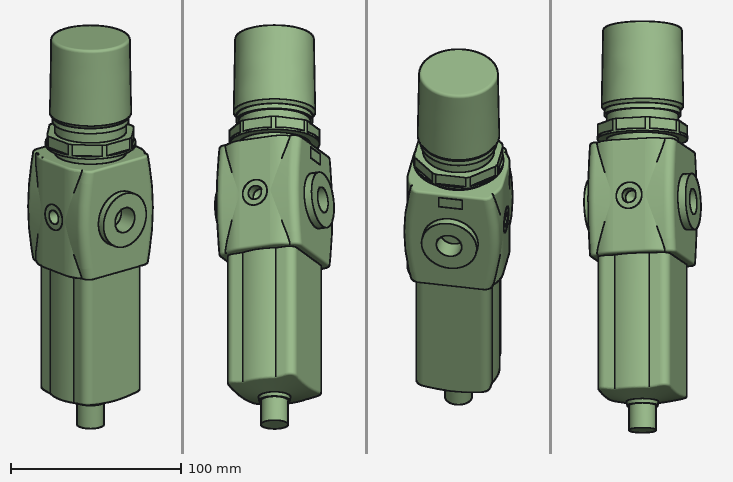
import cadquery as cq
import math

spout_step_z = 14.7
spout_root_z = 17.0
block_bottom_z = 101.3
block_top_z = 169.1
nut_seat_z = 174.2
nut_flange_top_z = 175.6
nut_top_z = 182.4
collar_bottom_z = 188.6
knob_bottom_z = 191.8
knob_rim_z = 194.0
total_height = 240.5
block_mid_z = (block_bottom_z + block_top_z) / 2
block_height = block_top_z - block_bottom_z

bowl_width_x = 44.0
bowl_half_x = bowl_width_x / 2
bowl_flat_y = 22.1
bowl_half_y = 24.3
bowl_bulge_half_width = 10.5
bowl_corner_radius = 5.0
bowl_bottom_slope = 0.25
bowl_edge_radius = 1.5

spout_root_diameter = 19.0
spout_shoulder_diameter = 18.0
spout_diameter = 16.0

block_width_x = 52.7
block_width_y = 57.0
block_half_x = block_width_x / 2
block_half_y = block_width_y / 2
front_flat_half_width = 9.9
flank_radius = 17.3
barrel_half_height = 26.7
barrel_drop = 2.6
block_corner_radius = 5.0
block_edge_radius = 1.5

port_boss_half_span = 31.0
port_boss_diameter = 33.0
port_hole_diameter = 15.2
port_hole_depth = 12.0
gauge_face_diameter = 15.6
gauge_face_depth = 0.12
gauge_hole_diameter = 8.5
gauge_hole_depth = 7.2
drill_point_angle = 118.0

label_width = 14.0
label_height = 6.7
label_center_z = 163.1
label_depth = 0.12

neck_diameter = 42.0
collar_diameter = 45.0
collar_top_diameter = 44.3
knob_bottom_diameter = 45.0
knob_rim_diameter = 48.0
knob_top_diameter = 46.5
knob_edge_radius = 1.8

nut_across_flats = 49.8
nut_diameter = 53.0
nut_sides = 8


def make_bowl():
    """Rounded rectangle with bulged front and back, closed below by a shallow cone."""
    height = block_bottom_z - spout_root_z
    prism = (
        cq.Workplane("XY", origin=(0, 0, spout_root_z))
        .rect(bowl_width_x, 2 * bowl_flat_y)
        .extrude(height)
        .edges("|Z")
        .fillet(bowl_corner_radius)
    )
    bulge = (
        cq.Workplane("XY", origin=(0, 0, spout_root_z))
        .moveTo(-bowl_bulge_half_width, -bowl_flat_y)
        .threePointArc((0, -bowl_half_y), (bowl_bulge_half_width, -bowl_flat_y))
        .lineTo(bowl_bulge_half_width, bowl_flat_y)
        .threePointArc((0, bowl_half_y), (-bowl_bulge_half_width, bowl_flat_y))
        .close()
        .extrude(height)
    )
    root_radius = spout_root_diameter / 2
    outer_radius = math.hypot(bowl_half_x, bowl_half_y)
    cone_rim_z = spout_root_z + bowl_bottom_slope * (outer_radius - root_radius)
    envelope = (
        cq.Workplane("XZ")
        .moveTo(0, spout_root_z)
        .lineTo(root_radius, spout_root_z)
        .lineTo(outer_radius, cone_rim_z)
        .lineTo(outer_radius, block_bottom_z)
        .lineTo(0, block_bottom_z)
        .close()
        .revolve(360, (0, 0, 0), (0, 1, 0))
    )
    bowl = prism.union(bulge).intersect(envelope)
    cone_rim = bowl.faces("%CONE").edges("not %CIRCLE")
    return cone_rim.fillet(bowl_edge_radius)


def make_spout():
    """Drain spout: short tapered root, then a small step down to the pipe."""
    return (
        cq.Workplane("XZ")
        .lineTo(spout_diameter / 2, 0)
        .lineTo(spout_diameter / 2, spout_step_z)
        .lineTo(spout_shoulder_diameter / 2, spout_step_z)
        .lineTo(spout_root_diameter / 2, spout_root_z)
        .lineTo(0, spout_root_z)
        .close()
        .revolve(360, (0, 0, 0), (0, 1, 0))
    )


def make_front_core():
    """Upright prism: flat front and back, falling away to the sides in arcs."""

    def flank_y(x):
        return block_half_y - flank_radius + math.sqrt(flank_radius**2 - (x - front_flat_half_width) ** 2)

    side_y = flank_y(block_half_x)
    middle_x = (front_flat_half_width + block_half_x) / 2
    middle_y = flank_y(middle_x)
    return (
        cq.Workplane("XY", origin=(0, 0, block_bottom_z))
        .moveTo(-front_flat_half_width, -block_half_y)
        .lineTo(front_flat_half_width, -block_half_y)
        .threePointArc((middle_x, -middle_y), (block_half_x, -side_y))
        .lineTo(block_half_x, side_y)
        .threePointArc((middle_x, middle_y), (front_flat_half_width, block_half_y))
        .lineTo(-front_flat_half_width, block_half_y)
        .threePointArc((-middle_x, middle_y), (-block_half_x, side_y))
        .lineTo(-block_half_x, -side_y)
        .threePointArc((-middle_x, -middle_y), (-front_flat_half_width, -block_half_y))
        .close()
        .extrude(block_height)
    )


def make_barrel():
    """Block whose front and back bow along Z and run out straight at the ends."""
    arc_end_y = block_half_y - barrel_drop
    barrel_radius = (barrel_half_height**2 + barrel_drop**2) / (2 * barrel_drop)
    end_slope = barrel_half_height / (barrel_radius - barrel_drop)
    end_y = arc_end_y - end_slope * (block_height / 2 - barrel_half_height)
    arc_bottom_z = block_mid_z - barrel_half_height
    arc_top_z = block_mid_z + barrel_half_height
    return (
        cq.Workplane("YZ")
        .moveTo(-end_y, block_bottom_z)
        .lineTo(end_y, block_bottom_z)
        .lineTo(arc_end_y, arc_bottom_z)
        .threePointArc((block_half_y, block_mid_z), (arc_end_y, arc_top_z))
        .lineTo(end_y, block_top_z)
        .lineTo(-end_y, block_top_z)
        .lineTo(-arc_end_y, arc_top_z)
        .threePointArc((-block_half_y, block_mid_z), (-arc_end_y, arc_bottom_z))
        .close()
        .extrude(block_half_x, both=True)
        .edges("(<X or >X) and (not |Y)")
        .fillet(block_corner_radius)
    )


def make_block():
    block = make_front_core().union(make_barrel())
    return block.faces("<Z or >Z").edges().fillet(block_edge_radius)


def make_port_bosses():
    return (
        cq.Workplane("YZ", origin=(0, 0, block_mid_z))
        .circle(port_boss_diameter / 2)
        .extrude(port_boss_half_span, both=True)
    )


def cut_ports(body):
    """Blind inlet and outlet holes on the X axis."""
    for side in (-1, 1):
        hole = (
            cq.Workplane("YZ", origin=(side * port_boss_half_span, 0, block_mid_z))
            .circle(port_hole_diameter / 2)
            .extrude(-side * port_hole_depth)
        )
        body = body.cut(hole)
    return body


def cut_gauge_ports(body):
    """Drilled gauge hole in a shallow spot face, front and back."""
    hole_radius = gauge_hole_diameter / 2
    face_radius = gauge_face_diameter / 2
    point_length = hole_radius / math.tan(math.radians(drill_point_angle / 2))
    hole_end_y = gauge_hole_depth - block_half_y
    cutter = (
        cq.Workplane("XY")
        .moveTo(0, -block_half_y)
        .lineTo(face_radius, -block_half_y)
        .lineTo(face_radius, gauge_face_depth - block_half_y)
        .lineTo(hole_radius, gauge_face_depth - block_half_y)
        .lineTo(hole_radius, hole_end_y)
        .lineTo(0, hole_end_y + point_length)
        .close()
        .revolve(360, (0, 0, 0), (0, 1, 0))
        .translate((0, 0, block_mid_z))
    )
    return body.cut(cutter).cut(cutter.rotate((0, 0, 0), (0, 0, 1), 180))


def cut_label(body):
    recess = (
        cq.Workplane("YZ", origin=(-block_half_x, 0, label_center_z))
        .rect(label_width, label_height)
        .extrude(label_depth)
    )
    return body.cut(recess)


def make_neck_and_knob():
    """Round neck, tapered collar and slightly flared knob turned about Z."""
    knob = (
        cq.Workplane("XZ")
        .moveTo(0, block_top_z)
        .lineTo(neck_diameter / 2, block_top_z)
        .lineTo(neck_diameter / 2, collar_bottom_z)
        .lineTo(collar_diameter / 2, collar_bottom_z)
        .lineTo(collar_top_diameter / 2, knob_bottom_z)
        .lineTo(knob_bottom_diameter / 2, knob_bottom_z)
        .lineTo(knob_rim_diameter / 2, knob_rim_z)
        .lineTo(knob_top_diameter / 2, total_height)
        .lineTo(0, total_height)
        .close()
        .revolve(360, (0, 0, 0), (0, 1, 0))
    )
    return knob.edges(">Z").fillet(knob_edge_radius)


def make_regulator():
    body = make_block().union(make_port_bosses()).union(make_bowl())
    body = body.union(make_spout()).union(make_neck_and_knob())
    return cut_label(cut_gauge_ports(cut_ports(body)))


def nut_cylinder(diameter, top_z):
    return cq.Workplane("XY", origin=(0, 0, nut_seat_z)).circle(diameter / 2).extrude(top_z - nut_seat_z)


def make_nut():
    """Octagonal panel nut with a round flange, its corners turned to the flange diameter."""
    octagon = (
        cq.Workplane("XY", origin=(0, 0, nut_flange_top_z))
        .polygon(nut_sides, nut_across_flats, circumscribed=True)
        .extrude(nut_top_z - nut_flange_top_z)
    )
    turned_octagon = octagon.intersect(nut_cylinder(nut_diameter, nut_top_z))
    flange = nut_cylinder(nut_diameter, nut_flange_top_z)
    bore = nut_cylinder(neck_diameter, nut_top_z)
    return turned_octagon.union(flange).cut(bore)


regulator = make_regulator()
nut = make_nut()
result = cq.Compound.makeCompound([regulator.val(), nut.val()])